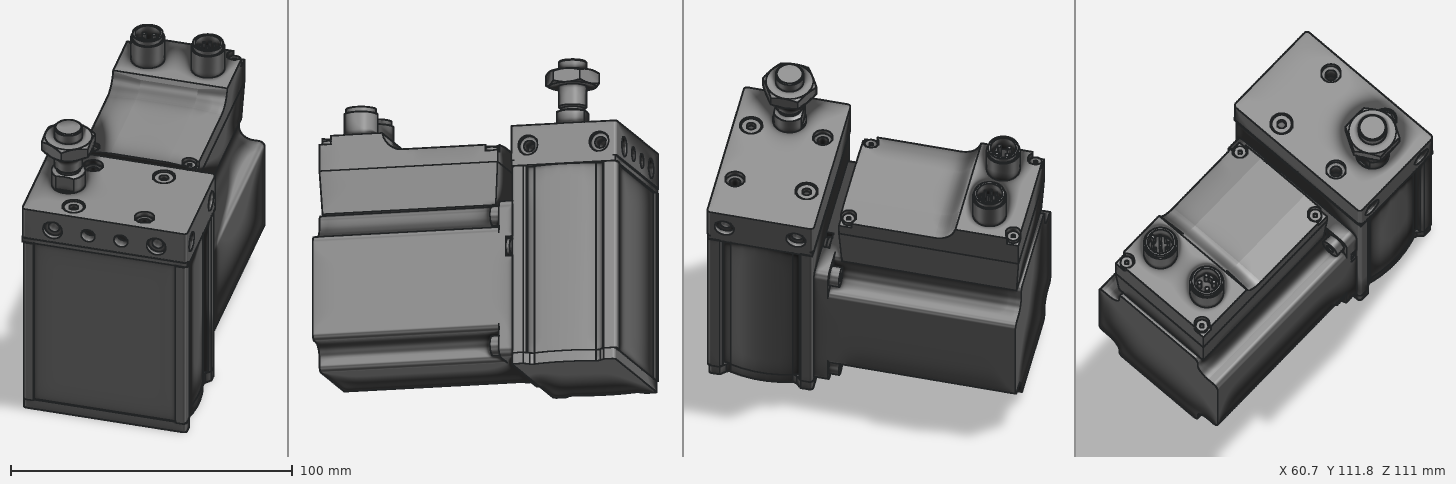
import cadquery as cq
import math

TOTAL_LENGTH = 111.8
TOTAL_HEIGHT = 111.0

HEAD_WIDTH = 60.7
HEAD_DEPTH = 38.8
HEAD_TOP = 86.3
HEAD_LIP_TOP = 73.8
HEAD_BOTTOM = 71.8
HEAD_LIP_INSET = 0.5
PROFILE_WIDTH = 60.0
PROFILE_BACK = 38.5
END_CAP_HEIGHT = 4.0
END_CAP_INSET = 0.6
CORNER_RADIUS = 1.2
FRONT_PANEL_WIDTH = 52.2
FRONT_PANEL_DEPTH = 1.1
CYLINDER_MID_Y = HEAD_DEPTH / 2

BULGE_REACH = 11.3
BULGE_ROOT = 2.1
BULGE_CREST = 0.6
SLOT_EDGE_DEPTH = 2.5
PROFILE_SLOT_WALL = [(14.8, 0), (14.0, 1.0), (13.9, 2.9)]
END_CAP_SLOT_WALL = [(14.8, 0), (12.9, 1.8)]

HOLE_HEIGHT = 79.0
HOLE_SPACING = 26.0
FRONT_HOLE_SPACING = 38.1
SLEEVE_DIAMETER = 7.0
SLEEVE_DEPTH = 2.0
THREAD_DIAMETER = 4.0
THREAD_DEPTH = 8.0
DRILL_POINT_ANGLE = 118
DOWEL_DIAMETER = 5.0
DOWEL_SPACING = 12.1
DOWEL_DEPTH = 4.0
HEAD_SCREW_BORE = 8.0
HEAD_SCREW_DIAMETER = 7.0
HEAD_SCREW_SOCKET = 3.2
HEAD_SCREW_DEPTH = 4.5
HEAD_SCREW_SINK = 0.5
SOCKET_DEPTH = 1.7

ROD_X = -18.5
ROD_Y = 19.1
ROD_DIAMETER = 12.0
ROD_FLATS = 10.1
ROD_COLLAR_TOP = 87.0
ROD_SHOULDER = 92.3
ROD_NECK_DIAMETER = 8.5
ROD_NECK_CONE = 0.7
THREAD_START = 94.6
ROD_THREAD_DIAMETER = 10.0
ROD_TIP_CHAMFER = 0.5
NUT_BOTTOM = 102.0
NUT_THICKNESS = 5.0
NUT_FLATS = 17.0
NUT_CHAMFER_DIAMETER = 16.8
NUT_CHAMFER_ANGLE = 30

MOTOR_SIZE = 56.7
MOTOR_MID_Z = 31.9
FLANGE_BACK = 43.6
FLANGE_CORNER_RADIUS = 3.0
NOTCH_SIZE = 9.5
NOTCH_INNER_RADIUS = 5.0
NOTCH_LIP_RADIUS = 2.2
MOTOR_SCREW_DIAMETER = 7.0
MOTOR_SCREW_INSET = 4.8
MOTOR_SCREW_HEIGHT = 3.6
MOTOR_SCREW_SOCKET = 3.0
SIDE_SCREW_OFFSET = 11.4
SIDE_SCREW_DIAMETER = 7.0
SIDE_SCREW_NECK_DIAMETER = 6.4
SIDE_SCREW_HEAD_BASE = 39.7
SIDE_SCREW_TOP = 41.0

COVER_WIDTH = 42.0
COVER_FRONT = 46.0
COVER_BACK = 111.2
COVER_BOTTOM = 75.7
COVER_TOP = 88.3
LOW_TOP = 83.0
LOW_TOP_EDGE = 82.1
LOW_TOP_FLAT_WIDTH = 21.0
STEP_TOP_Y = 88.3
STEP_BEVEL_RUN = 1.1
STEP_BEVEL_DROP = 1.5
STEP_EDGE_BEVEL_RUN = 0.2
STEP_EDGE_BEVEL_DROP = 0.3
STEP_FOOT_Y = 80.8
BASE_SHRINK = 0.9
COVER_SCREW_X = 18.0
COVER_SCREW_FRONT_Y = 48.9
COVER_SCREW_BACK_Y = 108.7
COVER_SCREW_RECESS = 5.5
COVER_SCREW_RECESS_DEPTH = 3.0
COVER_SCREW_OPENING = 1.7
COVER_SCREW_DIAMETER = 4.5
COVER_SCREW_HEIGHT = 1.3
COVER_SCREW_SOCKET = 1.5
COVER_SCREW_SOCKET_DEPTH = 0.9

CONNECTOR_SPACING = 22.1
CONNECTOR_Y = 98.5
CONNECTOR_DIAMETER = 12.0
CONNECTOR_SHOULDER = 97.5
CONNECTOR_TOP = 99.4
CONNECTOR_RIM_DIAMETER = 10.7
CONNECTOR_BORE = 9.0
CONNECTOR_BORE_DEPTH = 6.0
PIN_HEIGHT = 4.5
POWER_PIN_DIAMETER = 1.5
POWER_PIN_RADIUS = 2.6
SIGNAL_PIN_DIAMETER = 0.8
SIGNAL_PIN_RADIUS = 2.8
SIGNAL_PIN_PITCH = 45
KEY_LENGTH = 1.8
KEY_WIDTH = 1.0
POWER_KEY_OFFSET = 2.5

X_AXIS = cq.Vector(1, 0, 0)
Y_AXIS = cq.Vector(0, 1, 0)
Z_AXIS = cq.Vector(0, 0, 1)


def cylinder(diameter, start, axis, length):
    return cq.Workplane(cq.Solid.makeCylinder(diameter / 2, length, cq.Vector(*start), axis))


def block(x_range, y_range, z_range):
    size = [high - low for low, high in (x_range, y_range, z_range)]
    corner = (x_range[0], y_range[0], z_range[0])
    return cq.Workplane("XY").box(*size, centered=False).translate(corner)


def centred(width):
    return (-width / 2, width / 2)


def corner_signs():
    return [(sx, sy) for sx in (-1, 1) for sy in (-1, 1)]


def threaded_hole(point, axis):
    """Sleeve seat with a threaded hole and drill point below it, running from point along axis."""
    seat = cylinder(SLEEVE_DIAMETER, point, axis, SLEEVE_DEPTH)
    thread = cylinder(THREAD_DIAMETER, point, axis, THREAD_DEPTH)
    radius = THREAD_DIAMETER / 2
    point_length = radius / math.tan(math.radians(DRILL_POINT_ANGLE / 2))
    tip_base = cq.Vector(*point) + axis * THREAD_DEPTH
    tip = cq.Solid.makeCone(radius, 0, point_length, tip_base, axis)
    return seat.union(thread).union(cq.Workplane(tip))


def head_screw(x, y):
    top = HEAD_TOP - HEAD_SCREW_SINK
    floor = HEAD_TOP - HEAD_SCREW_DEPTH
    screw = cylinder(HEAD_SCREW_DIAMETER, (x, y, floor), Z_AXIS, top - floor)
    socket = cylinder(HEAD_SCREW_SOCKET, (x, y, top), -Z_AXIS, SOCKET_DEPTH)
    return screw.cut(socket)


def make_head():
    upper = block(centred(HEAD_WIDTH), (0, HEAD_DEPTH), (HEAD_LIP_TOP, HEAD_TOP))
    upper = upper.edges("|Z").fillet(CORNER_RADIUS)
    lip_y = (HEAD_LIP_INSET, HEAD_DEPTH - HEAD_LIP_INSET)
    head = upper.union(block(centred(HEAD_WIDTH), lip_y, (HEAD_BOTTOM, HEAD_LIP_TOP)))

    for sx, sy in corner_signs():
        x = sx * HOLE_SPACING / 2
        y = CYLINDER_MID_Y + sy * HOLE_SPACING / 2
        if sx != sy:
            head = head.cut(threaded_hole((x, y, HEAD_TOP), -Z_AXIS))
        else:
            head = head.cut(cylinder(HEAD_SCREW_BORE, (x, y, HEAD_TOP), -Z_AXIS, HEAD_SCREW_DEPTH))
            head = head.union(head_screw(x, y))

    for side in (-1, 1):
        for sy in (-1, 1):
            y = CYLINDER_MID_Y + sy * HOLE_SPACING / 2
            head = head.cut(threaded_hole((side * HEAD_WIDTH / 2, y, HOLE_HEIGHT), X_AXIS * -side))
        head = head.cut(threaded_hole((side * FRONT_HOLE_SPACING / 2, 0, HOLE_HEIGHT), Y_AXIS))
        dowel = (side * DOWEL_SPACING / 2, 0, HOLE_HEIGHT)
        head = head.cut(cylinder(DOWEL_DIAMETER, dowel, Y_AXIS, DOWEL_DEPTH))

    passage = cylinder(ROD_DIAMETER, (ROD_X, ROD_Y, HEAD_BOTTOM), Z_AXIS, HEAD_TOP - HEAD_BOTTOM)
    return head.cut(passage)


def stack_section(front, slot_wall, bottom, top):
    """Block with a bulged field between two slots on each side, extruded from bottom to top."""
    body = block(centred(PROFILE_WIDTH), (front, PROFILE_BACK), (bottom, top))
    body = body.edges("|Z").fillet(CORNER_RADIUS)
    side = PROFILE_WIDTH / 2
    root = side - BULGE_ROOT
    slot_edge = side - SLOT_EDGE_DEPTH
    mid = CYLINDER_MID_Y
    front_wall = [(side - depth, mid - reach) for reach, depth in slot_wall]
    back_wall = [(side - depth, mid + reach) for reach, depth in reversed(slot_wall)]
    side_cut = (
        cq.Workplane("XY", origin=(0, 0, bottom))
        .polyline(front_wall)
        .lineTo(slot_edge, mid - BULGE_REACH)
        .lineTo(root, mid - BULGE_REACH)
        .threePointArc((side - BULGE_CREST, mid), (root, mid + BULGE_REACH))
        .lineTo(slot_edge, mid + BULGE_REACH)
        .polyline(back_wall, includeCurrent=True)
        .close()
        .extrude(top - bottom)
    )
    return body.cut(side_cut).cut(side_cut.mirror("YZ"))


def make_profile():
    profile = stack_section(0, PROFILE_SLOT_WALL, END_CAP_HEIGHT, HEAD_BOTTOM)
    panel = block(centred(FRONT_PANEL_WIDTH), (0, FRONT_PANEL_DEPTH), (END_CAP_HEIGHT, HEAD_BOTTOM))
    return profile.cut(panel)


def make_end_cap():
    return stack_section(END_CAP_INSET, END_CAP_SLOT_WALL, 0, END_CAP_HEIGHT)


def make_rod():
    rod_radius = ROD_DIAMETER / 2
    neck_radius = ROD_NECK_DIAMETER / 2
    thread_radius = ROD_THREAD_DIAMETER / 2
    rod = (
        cq.Workplane("XZ")
        .moveTo(0, HEAD_BOTTOM)
        .lineTo(rod_radius, HEAD_BOTTOM)
        .lineTo(rod_radius, ROD_SHOULDER)
        .lineTo(neck_radius, ROD_SHOULDER + ROD_NECK_CONE)
        .lineTo(neck_radius, THREAD_START - ROD_NECK_CONE)
        .lineTo(thread_radius, THREAD_START)
        .lineTo(thread_radius, TOTAL_HEIGHT - ROD_TIP_CHAMFER)
        .lineTo(thread_radius - ROD_TIP_CHAMFER, TOTAL_HEIGHT)
        .lineTo(0, TOTAL_HEIGHT)
        .close()
        .revolve(360, (0, 0), (0, 1))
    )
    wrench_zone = (ROD_COLLAR_TOP, THREAD_START)
    for flat in ((ROD_FLATS / 2, ROD_DIAMETER), (-ROD_DIAMETER, -ROD_FLATS / 2)):
        rod = rod.cut(block(centred(ROD_DIAMETER), flat, wrench_zone))
    return rod.translate((ROD_X, ROD_Y, 0))


def make_nut():
    corner_diameter = NUT_FLATS / math.cos(math.radians(30))
    nut = cq.Workplane("XY").polygon(6, corner_diameter).extrude(NUT_THICKNESS)
    nut = nut.rotate((0, 0, 0), (0, 0, 1), 30)
    bevel = (corner_diameter - NUT_CHAMFER_DIAMETER) / 2
    bevel_height = bevel * math.tan(math.radians(NUT_CHAMFER_ANGLE))
    envelope = cq.Workplane("XY").circle(corner_diameter / 2).extrude(NUT_THICKNESS)
    envelope = envelope.faces("<Z or >Z").chamfer(bevel_height, bevel)
    nut = nut.intersect(envelope)
    nut = nut.cut(cylinder(ROD_THREAD_DIAMETER, (0, 0, 0), Z_AXIS, NUT_THICKNESS))
    return nut.translate((ROD_X, ROD_Y, NUT_BOTTOM))


def motor_corner_notch():
    """Groove that clears one mounting screw, cut from the upper +X corner of the motor."""
    half = MOTOR_SIZE / 2
    floor = half - NOTCH_SIZE
    lip = NOTCH_LIP_RADIUS
    turn = NOTCH_INNER_RADIUS
    return (
        cq.Workplane("XZ", origin=(0, TOTAL_LENGTH, 0))
        .moveTo(half, half)
        .lineTo(half, floor - lip)
        .radiusArc((half - lip, floor), -lip)
        .lineTo(floor + turn, floor)
        .radiusArc((floor, floor + turn), turn)
        .lineTo(floor, half - lip)
        .radiusArc((floor - lip, half), -lip)
        .close()
        .extrude(TOTAL_LENGTH - FLANGE_BACK)
    )


def motor_screw():
    """Socket head seated on the flange inside the upper +X corner notch."""
    centre = MOTOR_SIZE / 2 - MOTOR_SCREW_INSET
    top = FLANGE_BACK + MOTOR_SCREW_HEIGHT
    screw = cylinder(MOTOR_SCREW_DIAMETER, (centre, FLANGE_BACK, centre), Y_AXIS, MOTOR_SCREW_HEIGHT)
    return screw.cut(cylinder(MOTOR_SCREW_SOCKET, (centre, top, centre), -Y_AXIS, SOCKET_DEPTH))


def side_screw_pocket():
    """Pocket that opens the flange's upper face down to the screw axis."""
    half = MOTOR_SIZE / 2
    radius = SIDE_SCREW_DIAMETER / 2
    x_range = (SIDE_SCREW_OFFSET - radius, SIDE_SCREW_OFFSET + radius)
    return block(x_range, (PROFILE_BACK, SIDE_SCREW_TOP), (half - radius, half))


def side_screw():
    z = (MOTOR_SIZE - SIDE_SCREW_DIAMETER) / 2
    neck_length = SIDE_SCREW_HEAD_BASE - PROFILE_BACK
    neck = cylinder(SIDE_SCREW_NECK_DIAMETER, (SIDE_SCREW_OFFSET, PROFILE_BACK, z), Y_AXIS, neck_length)
    head_length = SIDE_SCREW_TOP - SIDE_SCREW_HEAD_BASE
    start = (SIDE_SCREW_OFFSET, SIDE_SCREW_HEAD_BASE, z)
    return neck.union(cylinder(SIDE_SCREW_DIAMETER, start, Y_AXIS, head_length))


def make_motor():
    def turned(feature, angle):
        return feature.rotate((0, 0, 0), (0, 1, 0), angle)

    square = centred(MOTOR_SIZE)
    motor = block(square, (PROFILE_BACK, TOTAL_LENGTH), square)
    motor = motor.edges("|Y").fillet(FLANGE_CORNER_RADIUS)
    for quarter in range(4):
        motor = motor.cut(turned(motor_corner_notch(), quarter * 90))
        motor = motor.union(turned(motor_screw(), quarter * 90))

    for angle in (0, -90):
        motor = motor.cut(turned(side_screw_pocket(), angle))
        motor = motor.union(turned(side_screw(), angle))
    return motor.translate((0, 0, MOTOR_MID_Z))


def make_base():
    """Tapered plinth between motor and cover, narrowing downward."""
    motor_top = MOTOR_MID_Z + MOTOR_SIZE / 2
    length = COVER_BACK - COVER_FRONT
    return (
        cq.Workplane("XY", origin=(0, (COVER_FRONT + COVER_BACK) / 2, motor_top))
        .rect(COVER_WIDTH - 2 * BASE_SHRINK, length - 2 * BASE_SHRINK)
        .workplane(offset=COVER_BOTTOM - motor_top)
        .rect(COVER_WIDTH, length)
        .loft(ruled=True)
    )


def cover_outline(x, low_top, bevel_run, bevel_drop):
    """Lengthwise section of the cover at x, with a bevelled step running down to low_top."""
    bevel_y = STEP_TOP_Y - bevel_run
    bevel_z = COVER_TOP - bevel_drop
    drop = bevel_z - low_top
    run = bevel_y - STEP_FOOT_Y
    radius = (run**2 + drop**2) / (2 * drop)
    half_sweep = math.atan2(drop, run)
    middle_y = STEP_FOOT_Y + radius * math.sin(half_sweep)
    middle_z = low_top + radius * (1 - math.cos(half_sweep))
    return (
        cq.Workplane("YZ", origin=(x, 0, 0))
        .moveTo(COVER_FRONT, COVER_BOTTOM)
        .lineTo(COVER_BACK, COVER_BOTTOM)
        .lineTo(COVER_BACK, COVER_TOP)
        .lineTo(STEP_TOP_Y, COVER_TOP)
        .lineTo(bevel_y, bevel_z)
        .threePointArc((middle_y, middle_z), (STEP_FOOT_Y, low_top))
        .lineTo(COVER_FRONT, low_top)
        .close()
    )


def cover_body():
    inner = LOW_TOP_FLAT_WIDTH / 2
    outer = COVER_WIDTH / 2
    middle = (LOW_TOP, STEP_BEVEL_RUN, STEP_BEVEL_DROP)
    edge = (LOW_TOP_EDGE, STEP_EDGE_BEVEL_RUN, STEP_EDGE_BEVEL_DROP)
    body = cover_outline(-inner, *middle).extrude(LOW_TOP_FLAT_WIDTH)
    inner_wire = cover_outline(inner, *middle).val()
    outer_wire = cover_outline(outer, *edge).val()
    flank = cq.Workplane(cq.Solid.makeLoft([inner_wire, outer_wire], True))
    return body.union(flank).union(flank.mirror("YZ"))


def cover_screw_recess(sx, y, outward, top):
    """Round recess whose two outer quadrants open through the cover's corner."""
    x = sx * COVER_SCREW_X
    floor = top - COVER_SCREW_RECESS_DEPTH
    reach = COVER_SCREW_RECESS
    recess = cylinder(COVER_SCREW_RECESS, (x, y, floor), Z_AXIS, reach)
    x_range = sorted((x, x + sx * reach))
    y_range = sorted((y - outward * COVER_SCREW_OPENING, y + outward * reach))
    return recess.union(block(x_range, y_range, (floor, floor + reach)))


def cover_screw(x, y, top):
    floor = top - COVER_SCREW_RECESS_DEPTH
    screw = cylinder(COVER_SCREW_DIAMETER, (x, y, floor), Z_AXIS, COVER_SCREW_HEIGHT)
    socket_start = (x, y, floor + COVER_SCREW_HEIGHT)
    return screw.cut(cylinder(COVER_SCREW_SOCKET, socket_start, -Z_AXIS, COVER_SCREW_SOCKET_DEPTH))


def connector_shell(x):
    shoulder = CONNECTOR_SHOULDER - COVER_TOP
    shell = cylinder(CONNECTOR_DIAMETER, (x, CONNECTOR_Y, COVER_TOP), Z_AXIS, shoulder)
    shell = shell.union(
        cylinder(CONNECTOR_RIM_DIAMETER, (x, CONNECTOR_Y, COVER_TOP), Z_AXIS, CONNECTOR_TOP - COVER_TOP)
    )
    return shell.cut(cylinder(CONNECTOR_BORE, (x, CONNECTOR_Y, CONNECTOR_TOP), -Z_AXIS, CONNECTOR_BORE_DEPTH))


def connector_pin(diameter, x, ring_radius, angle):
    turn = math.radians(angle)
    floor = CONNECTOR_TOP - CONNECTOR_BORE_DEPTH
    start = (x + ring_radius * math.cos(turn), CONNECTOR_Y + ring_radius * math.sin(turn), floor)
    return cylinder(diameter, start, Z_AXIS, PIN_HEIGHT)


def connector_key(x, y):
    floor = CONNECTOR_TOP - CONNECTOR_BORE_DEPTH
    size = (KEY_LENGTH, KEY_WIDTH, PIN_HEIGHT)
    return cq.Workplane("XY").box(*size, centered=(True, True, False)).translate((x, y, floor))


def power_connector(x):
    connector = connector_shell(x)
    for angle in range(45, 360, 90):
        connector = connector.union(connector_pin(POWER_PIN_DIAMETER, x, POWER_PIN_RADIUS, angle))
    return connector.union(connector_key(x, CONNECTOR_Y - POWER_KEY_OFFSET))


def signal_connector(x):
    connector = connector_shell(x)
    connector = connector.union(connector_pin(SIGNAL_PIN_DIAMETER, x, 0, 0))
    for angle in range(SIGNAL_PIN_PITCH, 360, SIGNAL_PIN_PITCH):
        connector = connector.union(connector_pin(SIGNAL_PIN_DIAMETER, x, SIGNAL_PIN_RADIUS, angle))
    key_x = x + (CONNECTOR_BORE - KEY_LENGTH) / 2
    return connector.union(connector_key(key_x, CONNECTOR_Y))


def make_cover():
    cover = cover_body()
    rows = ((COVER_SCREW_FRONT_Y, -1, LOW_TOP), (COVER_SCREW_BACK_Y, 1, COVER_TOP))
    for y, outward, top in rows:
        for sx in (-1, 1):
            cover = cover.cut(cover_screw_recess(sx, y, outward, top))
            cover = cover.union(cover_screw(sx * COVER_SCREW_X, y, top))
    cover = cover.union(power_connector(-CONNECTOR_SPACING / 2))
    return cover.union(signal_connector(CONNECTOR_SPACING / 2))


head = make_head()
profile = make_profile()
end_cap = make_end_cap()
rod = make_rod()
nut = make_nut()
motor = make_motor()
base = make_base()
cover = make_cover()

bodies = [head, profile, end_cap, rod, nut, motor, base, cover]
result = cq.Compound.makeCompound([body.val() for body in bodies])